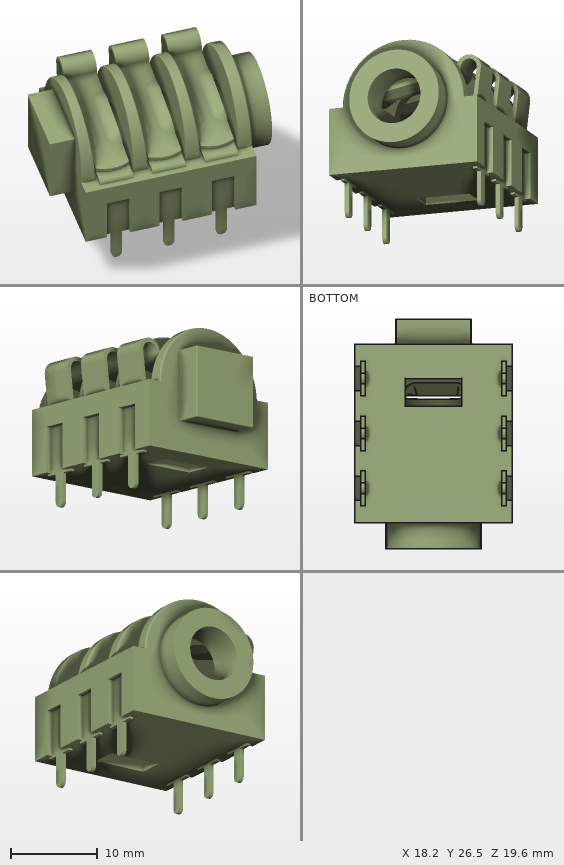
import cadquery as cq
import math

TOTAL_LENGTH = 26.53
TOTAL_HEIGHT = 19.58

BASE_WIDTH = 18.2
BASE_LENGTH = 20.67
BASE_HEIGHT = 7.9
MID_Y = BASE_LENGTH / 2

PITCH = 6.35
BAY_CENTRES = [MID_Y + i * PITCH for i in (-1, 0, 1)]
RIB_CENTRES = [MID_Y + i * PITCH for i in (-1.5, -0.5, 0.5, 1.5)]
RIB_RADIUS = 7.45
RIB_BASE_THICKNESS = 1.8
RIB_DRAFT = 2.0
RIB_EDGE_FILLET = 0.19

BUSHING_DIAMETER = 11.0
BUSHING_LENGTH = 3.0
BORE_DIAMETER = 6.5
BLOCK_WIDTH = 8.68
BLOCK_HEIGHT = 8.45
BLOCK_LENGTH = TOTAL_LENGTH - BASE_LENGTH - BUSHING_LENGTH
BLOCK_FILLET = 0.1
BLOCK_ROOT_FILLET = 0.1

SHEET = 0.5
CONTACT_WIDTH = 4.0
PLATE_INSET = 0.72
PLATE_PROJECTION = 0.25
PLATE_OUTER_X = BASE_WIDTH / 2 - PLATE_INSET
PLATE_INNER_X = PLATE_OUTER_X - SHEET
PLATE_BOTTOM_Z = -BASE_HEIGHT - PLATE_PROJECTION
PIN_WIDTH = 1.25
PIN_TIP_Z = RIB_RADIUS - TOTAL_HEIGHT
WINDOW_WIDTH = 2.8
WINDOW_TOP_Z = -2.47

LOOP_X = -7.35
LOOP_Z = 4.0
LOOP_OUTER_RADIUS = 1.5
LOOP_INNER_RADIUS = LOOP_OUTER_RADIUS - SHEET
BEND_RADIUS = 0.5
STRIP_END_X = 7.1
STRIP_END_DIAMETER = 9.52
FLARE_RADIUS = 1.5
FLARE_HEIGHT = 0.64
FLARE_LENGTH = 4.72
FLARE_CENTRE_X = 0.4

FIXED_END_X = 5.57


def polar(centre, radius, degrees):
    """Point at a given angle on a circle in the XZ plane."""
    angle = math.radians(degrees)
    return (centre[0] + radius * math.cos(angle), centre[1] + radius * math.sin(angle))


def tangent_angle(centre, radius, point, side):
    """Angle of the spot on a circle where a line from an outside point touches it."""
    dx = point[0] - centre[0]
    dz = point[1] - centre[1]
    spread = math.degrees(math.acos(radius / math.hypot(dx, dz)))
    return math.degrees(math.atan2(dz, dx)) + side * spread


def box(x_range, y_range, z_range):
    """Box between the given limits."""
    size = [high - low for low, high in (x_range, y_range, z_range)]
    return cq.Workplane("XY").box(*size, centered=False).translate((x_range[0], y_range[0], z_range[0]))


def rod(diameter, y_start, y_end):
    """Cylinder on the plug axis."""
    return cq.Workplane("XZ", origin=(0, y_end, 0)).circle(diameter / 2).extrude(y_end - y_start)


def make_rib(y_centre):
    """Half disc on the base, thinner towards its top, kept within the length of the base."""
    taper = RIB_RADIUS * math.tan(math.radians(RIB_DRAFT))
    half = RIB_BASE_THICKNESS / 2
    front_base = max(y_centre - half, 0)
    front_top = front_base + taper
    back_base = min(y_centre + half, BASE_LENGTH)
    back_top = BASE_LENGTH if back_base == BASE_LENGTH else back_base - taper
    wedge = (
        cq.Workplane("YZ", origin=(-RIB_RADIUS, 0, 0))
        .polyline([(front_base, 0), (back_base, 0), (back_top, RIB_RADIUS), (front_top, RIB_RADIUS)])
        .close()
        .extrude(2 * RIB_RADIUS)
    )
    rib = wedge.intersect(rod(2 * RIB_RADIUS, front_base, back_base))
    return rib.faces("<Y or >Y").edges("not |X").fillet(RIB_EDGE_FILLET)


def make_block():
    """Rounded block that closes the front end of the bore."""
    root_depth = RIB_BASE_THICKNESS / 2
    block = box(
        (-BLOCK_WIDTH / 2, BLOCK_WIDTH / 2),
        (-BLOCK_LENGTH, root_depth),
        (-BLOCK_HEIGHT / 2, BLOCK_HEIGHT / 2),
    )
    return block.edges("|Y or <Y").fillet(BLOCK_FILLET)


def block_root():
    """Selector for the edges where the block meets the base and the front rib."""
    margin = 0.27
    half_width = BLOCK_WIDTH / 2 + margin
    half_height = BLOCK_HEIGHT / 2 + margin
    return cq.selectors.BoxSelector((-half_width, -margin, -half_height), (half_width, margin, half_height))


def make_contact_slot(y_centre, side):
    """Slot for a contact plate, with a window through the side wall in front of it."""
    plate_x = sorted((side * PLATE_INNER_X, side * PLATE_OUTER_X))
    wall_x = sorted((side * PLATE_OUTER_X, side * BASE_WIDTH / 2))
    half_plate = CONTACT_WIDTH / 2
    half_window = WINDOW_WIDTH / 2
    slot = box(plate_x, (y_centre - half_plate, y_centre + half_plate), (-BASE_HEIGHT, 0))
    window = box(wall_x, (y_centre - half_window, y_centre + half_window), (-BASE_HEIGHT, WINDOW_TOP_Z))
    return slot.union(window)


def make_housing():
    body = box((-BASE_WIDTH / 2, BASE_WIDTH / 2), (0, BASE_LENGTH), (-BASE_HEIGHT, 0))
    for y_centre in RIB_CENTRES:
        body = body.union(make_rib(y_centre))
    body = body.union(make_block())
    body = body.edges(block_root()).fillet(BLOCK_ROOT_FILLET)
    body = body.union(rod(BUSHING_DIAMETER, BASE_LENGTH, BASE_LENGTH + BUSHING_LENGTH))
    body = body.cut(rod(BORE_DIAMETER, 0, BASE_LENGTH + BUSHING_LENGTH))

    half_bore = BORE_DIAMETER / 2
    body = body.cut(box((-half_bore, half_bore), (BAY_CENTRES[0], RIB_CENTRES[1]), (-BASE_HEIGHT, 0)))

    for y_centre in BAY_CENTRES:
        for side in (-1, 1):
            body = body.cut(make_contact_slot(y_centre, side))
    return body


def make_pin(y_centre, side):
    """Solder pin with a round tip below a contact plate."""
    radius = PIN_WIDTH / 2
    tip_start_z = PIN_TIP_Z + radius
    plate_x = min(side * PLATE_INNER_X, side * PLATE_OUTER_X)
    return (
        cq.Workplane("YZ", origin=(plate_x, y_centre, 0))
        .moveTo(-radius, PLATE_BOTTOM_Z)
        .lineTo(-radius, tip_start_z)
        .threePointArc((0, PIN_TIP_Z), (radius, tip_start_z))
        .lineTo(radius, PLATE_BOTTOM_Z)
        .close()
        .extrude(SHEET)
    )


def make_flare(strip_plane, side):
    """Ridge with cone ends that straddles one long edge of the strip."""
    edge = strip_plane.toWorldCoords((0, side * CONTACT_WIDTH / 2, 0))
    plane = cq.Plane(origin=edge, xDir=strip_plane.xDir, normal=strip_plane.zDir)
    ridge = (
        cq.Workplane(cq.Plane(origin=edge, xDir=strip_plane.yDir, normal=strip_plane.xDir))
        .polyline([(-FLARE_RADIUS, 0), (0, FLARE_HEIGHT), (FLARE_RADIUS, 0)])
        .close()
        .extrude(FLARE_LENGTH / 2, both=True)
    )
    for end in (-1, 1):
        apex = plane.toWorldCoords((end * FLARE_LENGTH / 2, 0, 0))
        ridge = ridge.union(cq.Solid.makeCone(FLARE_RADIUS, 0, FLARE_HEIGHT, apex, plane.zDir))
    return ridge


def make_spring(y_centre):
    """Contact that loops over the left side and slopes across the bore to the fixed contact."""
    loop = (LOOP_X, LOOP_Z)
    bend = (LOOP_X + LOOP_OUTER_RADIUS + BEND_RADIUS, LOOP_Z)
    under_bend = BEND_RADIUS + SHEET
    strip_end = (STRIP_END_X, SHEET)
    lean = tangent_angle(loop, LOOP_OUTER_RADIUS, (-PLATE_OUTER_X, 0), -1) % 360
    down = tangent_angle(bend, under_bend, strip_end, -1) % 360
    bend_mid = (180 + down) / 2
    strip_top = polar(strip_end, -SHEET, down)

    profile = (
        cq.Workplane("XZ", origin=(0, y_centre + CONTACT_WIDTH / 2, 0))
        .moveTo(-PLATE_OUTER_X, PLATE_BOTTOM_Z)
        .lineTo(-PLATE_OUTER_X, 0)
        .lineTo(*polar(loop, LOOP_OUTER_RADIUS, lean))
        .threePointArc(polar(loop, LOOP_OUTER_RADIUS, 90), polar(loop, LOOP_OUTER_RADIUS, 0))
        .threePointArc(polar(bend, BEND_RADIUS, bend_mid), polar(bend, BEND_RADIUS, down))
        .lineTo(*strip_top)
        .lineTo(*strip_end)
        .lineTo(*polar(bend, under_bend, down))
        .threePointArc(polar(bend, under_bend, bend_mid), polar(bend, under_bend, 180))
        .threePointArc(polar(loop, LOOP_INNER_RADIUS, 90), polar(loop, LOOP_INNER_RADIUS, lean))
        .lineTo(-PLATE_INNER_X, 0)
        .lineTo(-PLATE_INNER_X, PLATE_BOTTOM_Z)
        .close()
    )
    spring = profile.extrude(CONTACT_WIDTH)

    slope = math.radians(270 - down)
    rise = (strip_top[0] - FLARE_CENTRE_X) * math.tan(slope)
    strip_plane = cq.Plane(
        origin=(FLARE_CENTRE_X, y_centre, strip_top[1] + rise),
        xDir=(math.cos(slope), 0, -math.sin(slope)),
        normal=(math.sin(slope), 0, math.cos(slope)),
    )
    for side in (-1, 1):
        flare = make_flare(strip_plane, side)
        spring = spring.union(flare).cut(flare.translate(strip_plane.zDir * -SHEET))
    half_width = CONTACT_WIDTH / 2
    spring = spring.intersect(
        box(
            (-BASE_WIDTH / 2, BASE_WIDTH / 2),
            (y_centre - half_width, y_centre + half_width),
            (PLATE_BOTTOM_Z, RIB_RADIUS),
        )
    )

    end_radius = STRIP_END_DIAMETER / 2
    end_centre_x = STRIP_END_X - end_radius
    beyond_end = box(
        (end_centre_x, BASE_WIDTH / 2),
        (y_centre - half_width, y_centre + half_width),
        (0, RIB_RADIUS),
    ).cut(cq.Workplane("XY").center(end_centre_x, y_centre).circle(end_radius).extrude(RIB_RADIUS))
    return spring.cut(beyond_end).union(make_pin(y_centre, -1))


def make_fixed_contact(y_centre):
    """Angle plate that lies on the base under the end of the spring and drops through the right side."""
    bend_mid = polar((PLATE_INNER_X, 0), SHEET, 45)
    plate = (
        cq.Workplane("XZ", origin=(0, y_centre + CONTACT_WIDTH / 2, 0))
        .moveTo(FIXED_END_X, 0)
        .lineTo(FIXED_END_X, SHEET)
        .lineTo(PLATE_INNER_X, SHEET)
        .threePointArc(bend_mid, (PLATE_OUTER_X, 0))
        .lineTo(PLATE_OUTER_X, PLATE_BOTTOM_Z)
        .lineTo(PLATE_INNER_X, PLATE_BOTTOM_Z)
        .lineTo(PLATE_INNER_X, 0)
        .close()
        .extrude(CONTACT_WIDTH)
    )
    return plate.union(make_pin(y_centre, 1))


housing = make_housing()
springs = [make_spring(y_centre) for y_centre in BAY_CENTRES]
fixed_contacts = [make_fixed_contact(y_centre) for y_centre in BAY_CENTRES]

result = cq.Compound.makeCompound(
    [housing.solids().val(), *[body.solids().val() for body in springs + fixed_contacts]]
)